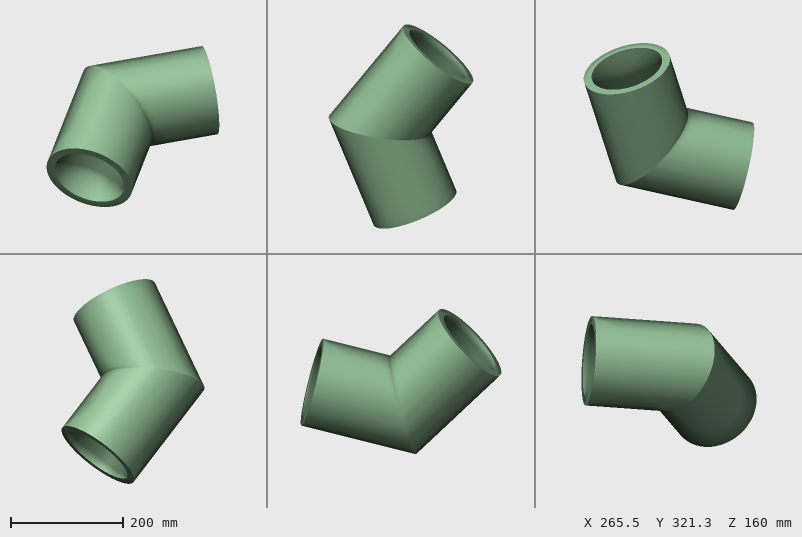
import cadquery as cq
import math

outer_diameter = 160.0
wall_thickness = 14.6
leg_length = 168.0
bend_angle = 60.0

inner_diameter = outer_diameter - 2 * wall_thickness

bend_radians = math.radians(bend_angle)
inlet_end = (0, -leg_length)
bend_point = (0, 0)
outlet_end = (leg_length * math.sin(bend_radians), leg_length * math.cos(bend_radians))


def mitred_rod(diameter):
    """Solid round bar following the centreline, mitred at the bend."""
    centreline = cq.Workplane("XY").polyline([inlet_end, bend_point, outlet_end])
    profile = cq.Workplane("XZ", origin=(*inlet_end, 0)).circle(diameter / 2)
    return profile.sweep(centreline, transition="right")


result = mitred_rod(outer_diameter).cut(mitred_rod(inner_diameter))